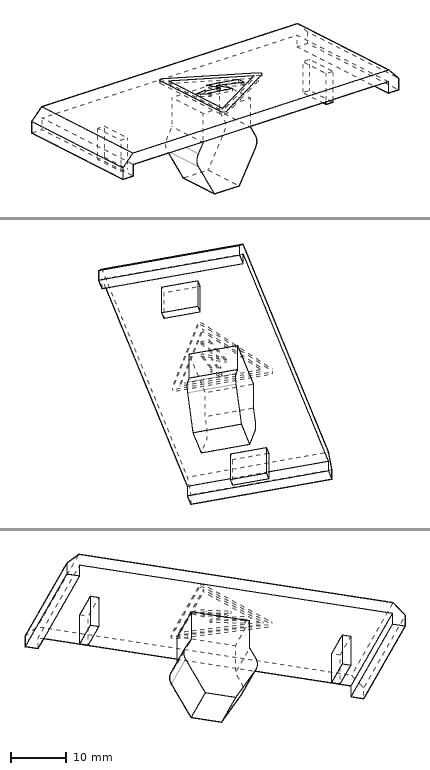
import cadquery as cq
import math

cover_length = 64.0
cover_width = 26.5
wall = 2.3
lip_thickness = 2.4
lip_depth = 2 * wall

rib_width = 6.8
rib_thickness = 1.6
rib_bottom = 8.45
rib_offset = 23.8

tongue_right = rib_width / 2
tongue_left = -5.7
tongue_bottom = 19.0
neck_half_width = 5.5
neck_bottom = 8.05
tip_half_width = 2.9
flare_angle = math.radians(60)
flare_radius = 2.55

inlay_depth = 0.5
triangle_base_y = -4.55
triangle_half_width = 7.8
border_width = 1.15
border_corner_radius = 0.6


def make_plate():
    """Plate with chamfered ends and a downward lip along each end."""
    half = cover_length / 2
    section = [
        (-half, -lip_depth),
        (-half, -wall),
        (-half + wall, 0),
        (half - wall, 0),
        (half, -wall),
        (half, -lip_depth),
        (half - lip_thickness, -lip_depth),
        (half - lip_thickness, -wall),
        (-half + lip_thickness, -wall),
        (-half + lip_thickness, -lip_depth),
    ]
    return cq.Workplane("YZ").polyline(section).close().extrude(cover_width / 2, both=True)


def make_rib(center_y):
    height = rib_bottom - wall
    return (
        cq.Workplane("XY", origin=(0, center_y, -rib_bottom))
        .rect(rib_width, rib_thickness)
        .extrude(height)
    )


def make_tongue():
    """Tongue that flares out below its neck, then tapers to a flat tip."""
    slope = math.tan(flare_angle)
    flare_height = (tongue_bottom - neck_bottom - slope * (neck_half_width - tip_half_width)) / 2
    flare_half_width = neck_half_width + flare_height / slope
    flare_z = -neck_bottom - flare_height
    right_side = [
        (neck_half_width, -wall),
        (neck_half_width, -neck_bottom),
        (flare_half_width, flare_z),
        (tip_half_width, -tongue_bottom),
    ]
    left_side = [(-y, z) for y, z in reversed(right_side)]
    tongue = (
        cq.Workplane("YZ", origin=(tongue_left, 0, 0))
        .polyline(right_side + left_side)
        .close()
        .extrude(tongue_right - tongue_left)
    )
    return tongue.edges("|X").edges("<Y or >Y").fillet(flare_radius)


def make_triangle(offset):
    """Equilateral triangle prism, moved outward by offset on every side."""
    half_width = triangle_half_width + offset * math.sqrt(3)
    base_y = triangle_base_y - offset
    apex_y = base_y + half_width * math.sqrt(3)
    corners = [(-half_width, base_y), (half_width, base_y), (0, apex_y)]
    return cq.Workplane("XY").polyline(corners).close().extrude(-inlay_depth)


def make_border():
    """Triangular frame with rounded outer corners and sharp inner ones."""
    outer = make_triangle(border_width).edges("|Z").fillet(border_corner_radius)
    return outer.cut(make_triangle(0))


def make_bolt():
    """Lightning bolt that ends in a barbed arrowhead."""
    outline = [
        (-0.45, 5.75),
        (1.15, 5.75),
        (-0.8, 0.95),
        (2.0, 2.4),
        (0.95, -2.4),
        (1.5, -2.1),
        (-0.1, -4.3),
        (-0.5, -1.85),
        (-0.1, -2.3),
        (0.45, 0.9),
        (-2.05, -0.4),
    ]
    return cq.Workplane("XY").polyline(outline).close().extrude(-inlay_depth)


border = make_border()
bolt = make_bolt()

cover = make_plate().union(make_tongue())
for side in (-1, 1):
    cover = cover.union(make_rib(side * rib_offset))
cover = cover.cut(border).cut(bolt)

result = cq.Compound.makeCompound([cover.val(), border.val(), bolt.val()])